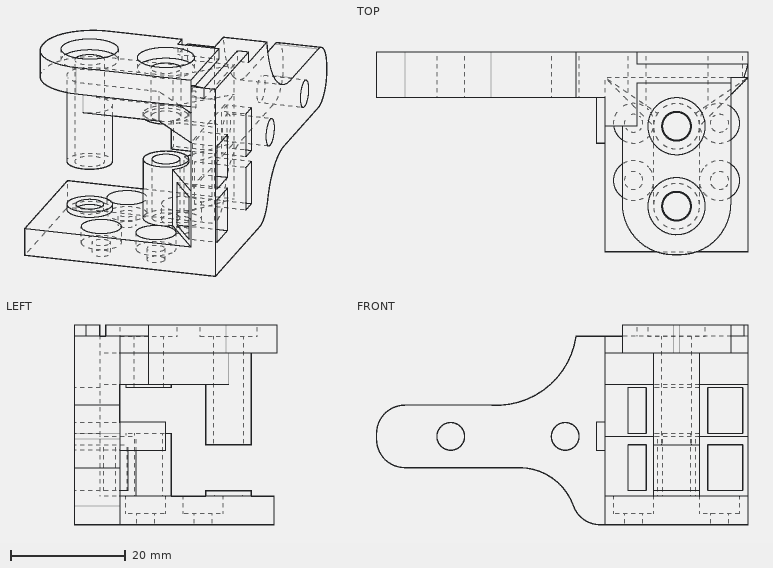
import cadquery as cq
import math


LENGTH = 65.0
HEIGHT = 35.0
BODY_WIDTH = 25.0
BASE_DEPTH = 35.0
BASE_THICKNESS = 5.0
NOSE_OVERHANG = 0.5
WALL_THICKNESS = 4.5

BODY_LEFT = LENGTH - BODY_WIDTH
BODY_MID = LENGTH - BODY_WIDTH / 2
BACK = NOSE_OVERHANG + BASE_DEPTH
WALL_FRONT = BACK - WALL_THICKNESS

CAP_THICKNESS = 4.95
CAP_WIDTH = 19.0
NOSE_RADIUS = 9.0
CAP_RISE = 1.95
CAP_BACK = 30.0
CAP_NOTCH_WIDTH = 5.6
CAP_BOTTOM = HEIGHT - CAP_THICKNESS
CAP_LEFT = BODY_MID - CAP_WIDTH / 2
CAP_RIGHT = BODY_MID + CAP_WIDTH / 2
LEDGE_TOP = HEIGHT - CAP_RISE
NOTCH_RIGHT = BODY_LEFT + CAP_NOTCH_WIDTH

RIDGE_WIDTH = 2.1
WEDGE_WIDTH = 0.7
RIDGE_FRONT = BACK - RIDGE_WIDTH

ARM_THICKNESS = 8.0
ARM_MID_HEIGHT = 15.5
ARM_WIDTH = 11.0
TIP_RADIUS = 5.0
UPPER_ARC_START = 20.0
UPPER_ARC_CENTER_X = 21.0
LOWER_ARC_START = 25.0
FOOT_RADIUS = 5.0
ARM_HOLE_DIAMETER = 4.8
ARM_HOLE_POSITIONS = (13.0, 33.0)
ARM_FRONT = BACK - ARM_THICKNESS

TAB_THICKNESS = 1.5
TAB_LENGTH = 8.0
TAB_BOTTOM = 13.0
TAB_HEIGHT = 5.0

PIN_DIAMETER = 8.0
FRONT_PIN_Y = 8.5
REAR_PIN_Y = 22.5
UPPER_FRONT_PIN_BOTTOM = 14.0
UPPER_REAR_PIN_BOTTOM = 24.0
LOWER_FRONT_PIN_TOP = 6.0
LOWER_REAR_PIN_TOP = 16.0
UPPER_BORE_DIAMETER = 5.2
LOWER_BORE_DIAMETER = 4.9
CAP_COUNTERBORE_DIAMETER = 10.0
CAP_COUNTERBORE_DEPTH = 2.0

LOWER_WEB_TOP = 15.5
UPPER_WEB_BOTTOM = 24.5

WINDOW_SPANS = ((44.0, 47.2), (58.0, 64.0))
WINDOW_LEVELS = ((6.05, 14.0), (16.0, 24.0))

SCREW_SPACING_X = 15.0
SCREW_ROWS_Y = (13.0, 23.0)
SCREW_DIAMETER = 3.2
SCREW_HEAD_DIAMETER = 7.0
SCREW_HEAD_DEPTH = 3.0


def box(x_range, y_range, z_range):
    """Axis-aligned block between the given limits."""
    (x0, x1), (y0, y1), (z0, z1) = x_range, y_range, z_range
    return cq.Workplane("XY").box(x1 - x0, y1 - y0, z1 - z0, centered=False).translate((x0, y0, z0))


def rod(x, y, diameter, bottom, top):
    """Vertical cylinder between two heights."""
    return cq.Workplane("XY", origin=(x, y, bottom)).circle(diameter / 2).extrude(top - bottom)


def prism(points, bottom, top):
    """Vertical prism over a polygon in plan."""
    return cq.Workplane("XY", origin=(0, 0, bottom)).polyline(points).close().extrude(top - bottom)


def make_arm():
    """Rounded lever arm that flares into the full-height block by concave arcs."""
    arm_top = ARM_MID_HEIGHT + ARM_WIDTH / 2
    arm_bottom = ARM_MID_HEIGHT - ARM_WIDTH / 2

    upper_radius = math.hypot(UPPER_ARC_CENTER_X - UPPER_ARC_START, HEIGHT - arm_top)
    upper_end_x = UPPER_ARC_CENTER_X + math.sqrt(upper_radius**2 - CAP_RISE**2)
    upper_mid = (
        UPPER_ARC_CENTER_X + upper_radius * math.cos(math.pi / 4),
        HEIGHT - upper_radius * math.sin(math.pi / 4),
    )

    lower_radius = arm_bottom
    center_distance = lower_radius + FOOT_RADIUS
    blend_angle = math.asin(FOOT_RADIUS / center_distance)
    foot_center_x = LOWER_ARC_START + center_distance * math.cos(blend_angle)
    mid_angle = (blend_angle + math.pi / 2) / 2
    foot_mid = (
        foot_center_x - FOOT_RADIUS * math.cos(mid_angle),
        FOOT_RADIUS - FOOT_RADIUS * math.sin(mid_angle),
    )
    blend_point = (
        LOWER_ARC_START + lower_radius * math.cos(blend_angle),
        lower_radius * math.sin(blend_angle),
    )
    lower_mid = (
        LOWER_ARC_START + lower_radius * math.cos(mid_angle),
        lower_radius * math.sin(mid_angle),
    )

    arm = (
        cq.Workplane("XZ", origin=(0, BACK, 0))
        .moveTo(0, arm_top)
        .lineTo(UPPER_ARC_START, arm_top)
        .threePointArc(upper_mid, (upper_end_x, LEDGE_TOP))
        .lineTo(BODY_LEFT, LEDGE_TOP)
        .lineTo(BODY_LEFT, 0)
        .lineTo(foot_center_x, 0)
        .threePointArc(foot_mid, blend_point)
        .threePointArc(lower_mid, (LOWER_ARC_START, arm_bottom))
        .lineTo(0, arm_bottom)
        .close()
        .extrude(ARM_THICKNESS)
    )
    arm = arm.edges("|Y and <X").fillet(TIP_RADIUS)
    holes = (
        cq.Workplane("XZ", origin=(0, BACK, ARM_MID_HEIGHT))
        .pushPoints([(x, 0) for x in ARM_HOLE_POSITIONS])
        .circle(ARM_HOLE_DIAMETER / 2)
        .extrude(ARM_THICKNESS)
    )
    return arm.cut(holes)


def make_block():
    """Base plate and rear wall, with a side tab that stands out from the arm's front face."""
    body_x = (BODY_LEFT, LENGTH)
    base = box(body_x, (NOSE_OVERHANG, BACK), (0, BASE_THICKNESS))
    wall = box(body_x, (WALL_FRONT, BACK), (0, LEDGE_TOP))
    tab = box(
        (BODY_LEFT - TAB_THICKNESS, BODY_LEFT),
        (ARM_FRONT - TAB_LENGTH, ARM_FRONT),
        (TAB_BOTTOM, TAB_BOTTOM + TAB_HEIGHT),
    )
    return base.union(wall).union(tab)


def make_cap():
    """Round-nosed plate, joined to the wall by a lower ledge."""
    nose = box((CAP_LEFT, CAP_RIGHT), (0, REAR_PIN_Y), (CAP_BOTTOM, HEIGHT))
    nose = nose.edges("|Z and <Y").fillet(NOSE_RADIUS)
    ledge = box((BODY_LEFT, CAP_RIGHT), (REAR_PIN_Y, WALL_FRONT), (CAP_BOTTOM, LEDGE_TOP))
    heel = box((NOTCH_RIGHT, CAP_RIGHT), (REAR_PIN_Y, CAP_BACK), (LEDGE_TOP, HEIGHT))
    return nose.union(ledge).union(heel)


def make_ridge():
    """Raised rear edge with a triangular wedge in front of its right end."""
    ridge = box((NOTCH_RIGHT, LENGTH), (RIDGE_FRONT, BACK), (LEDGE_TOP, HEIGHT))
    wedge = prism(
        [(LENGTH, RIDGE_FRONT), (LENGTH - WEDGE_WIDTH, WALL_FRONT), (LENGTH, WALL_FRONT)],
        LEDGE_TOP,
        HEIGHT,
    )
    return ridge.union(wedge)


def make_pins():
    """Solid pins hanging from the cap and standing on the base."""
    upper_front = rod(BODY_MID, FRONT_PIN_Y, PIN_DIAMETER, UPPER_FRONT_PIN_BOTTOM, CAP_BOTTOM)
    upper_rear = rod(BODY_MID, REAR_PIN_Y, PIN_DIAMETER, UPPER_REAR_PIN_BOTTOM, CAP_BOTTOM)
    lower_front = rod(BODY_MID, FRONT_PIN_Y, PIN_DIAMETER, BASE_THICKNESS, LOWER_FRONT_PIN_TOP)
    lower_rear = rod(BODY_MID, REAR_PIN_Y, PIN_DIAMETER, BASE_THICKNESS, LOWER_REAR_PIN_TOP)
    return upper_front.union(upper_rear).union(lower_front).union(lower_rear)


def make_webs():
    """Tapered webs that run from the wall to the pins, above and below."""
    wall_corners = [(LENGTH, WALL_FRONT), (BODY_LEFT, WALL_FRONT)]
    pin_left = BODY_MID - PIN_DIAMETER / 2
    pin_right = BODY_MID + PIN_DIAMETER / 2
    lower = prism(wall_corners + [(BODY_MID, REAR_PIN_Y)], BASE_THICKNESS, LOWER_WEB_TOP)
    upper = prism(
        wall_corners
        + [
            (pin_left, REAR_PIN_Y),
            (pin_left, FRONT_PIN_Y),
            (pin_right, FRONT_PIN_Y),
            (pin_right, REAR_PIN_Y),
        ],
        UPPER_WEB_BOTTOM,
        CAP_BOTTOM,
    )
    return lower.union(upper)


def cut_pin_bores(part):
    """Counterbored holes through the upper pins; blind holes in the lower ones."""
    for y, lower_top in ((FRONT_PIN_Y, LOWER_FRONT_PIN_TOP), (REAR_PIN_Y, LOWER_REAR_PIN_TOP)):
        part = part.cut(rod(BODY_MID, y, UPPER_BORE_DIAMETER, lower_top, HEIGHT))
        part = part.cut(rod(BODY_MID, y, CAP_COUNTERBORE_DIAMETER, HEIGHT - CAP_COUNTERBORE_DEPTH, HEIGHT))
        part = part.cut(rod(BODY_MID, y, LOWER_BORE_DIAMETER, BASE_THICKNESS, lower_top))
    return part


def cut_windows(part):
    """Rectangular openings through the wall and the lower web."""
    for x_range in WINDOW_SPANS:
        for z_range in WINDOW_LEVELS:
            part = part.cut(box(x_range, (REAR_PIN_Y, BACK), z_range))
    return part


def cut_screw_holes(part):
    """Four counterbored through holes in the base plate."""
    for x in (BODY_MID - SCREW_SPACING_X / 2, BODY_MID + SCREW_SPACING_X / 2):
        for y in SCREW_ROWS_Y:
            head_bottom = BASE_THICKNESS - SCREW_HEAD_DEPTH
            part = part.cut(rod(x, y, SCREW_DIAMETER, 0, BASE_THICKNESS))
            part = part.cut(rod(x, y, SCREW_HEAD_DIAMETER, head_bottom, BASE_THICKNESS))
    return part


part = make_block().union(make_arm()).union(make_cap()).union(make_ridge())
part = part.union(make_pins()).union(make_webs())
part = cut_pin_bores(part)
part = cut_windows(part)
result = cut_screw_holes(part)